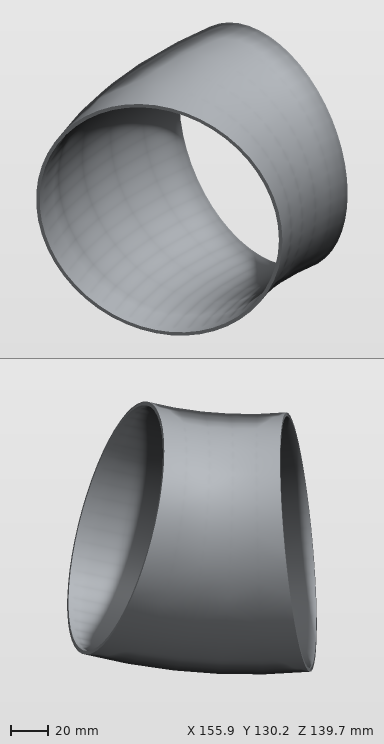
import cadquery as cq

outer_diameter = 139.7
wall_thickness = 2.0
bend_radius = 190.5
bend_angle = 30.0

inner_diameter = outer_diameter - 2 * wall_thickness


def make_elbow():
    """Inlet ring centred on the origin, facing -Y; the pipe runs along +Y and bends toward +X."""
    inlet_ring = cq.Workplane("XZ").circle(outer_diameter / 2).circle(inner_diameter / 2)
    bend_axis_start = (bend_radius, 0)
    bend_axis_end = (bend_radius, -1)
    return inlet_ring.revolve(bend_angle, bend_axis_start, bend_axis_end)


result = make_elbow()